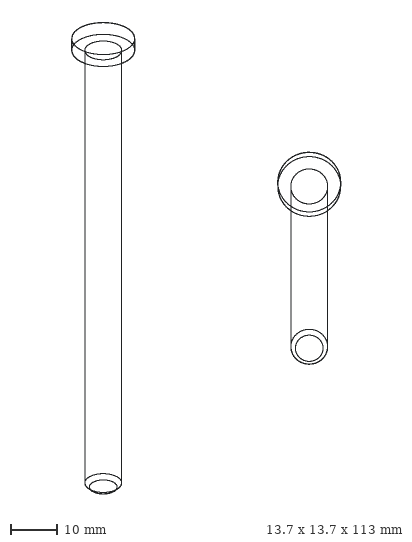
import cadquery as cq

overall_length = 113.0
head_diameter = 13.67
head_thickness = 3.0
shank_diameter = 8.0
tip_chamfer = 1.0

shank_length = overall_length - head_thickness


def make_shank():
    """Round shank with a chamfered lower tip."""
    shank = cq.Workplane("XY").circle(shank_diameter / 2).extrude(shank_length)
    return shank.faces("<Z").chamfer(tip_chamfer)


def make_head():
    """Flat disc head on top of the shank."""
    return (
        cq.Workplane("XY")
        .workplane(offset=shank_length)
        .circle(head_diameter / 2)
        .extrude(head_thickness)
    )


result = make_shank().union(make_head())